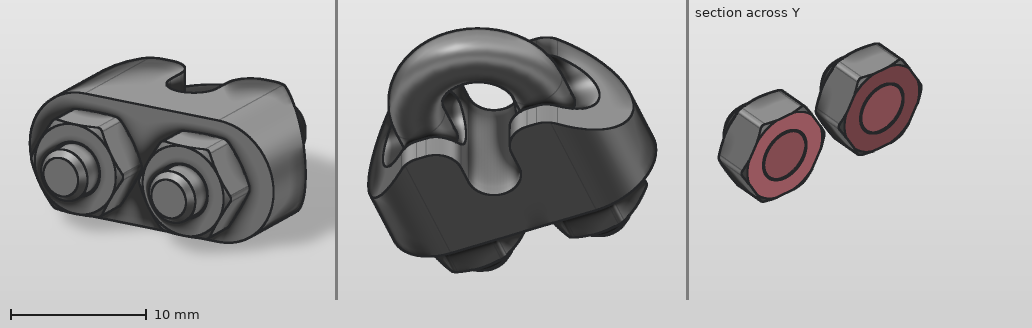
import cadquery as cq
import math


overall_length = 21.0
rod_diameter = 4.0
rod_radius = rod_diameter / 2
bend_radius = 4.65
leg_tip_y = -5.25
leg_tip_chamfer = 0.5
bend_center_y = leg_tip_y + overall_length - bend_radius - rod_radius
leg_positions = (-bend_radius, bend_radius)

saddle_width = 21.0
saddle_thickness = 9.5
saddle_height = 9.5
shoulder_height = 4.58
slope_angle = 45.0
crest_radius = 2.0
slot_width = 4.0
slot_depth = 5.5
groove_radius = 2.75
groove_floor_y = 6.5

nut_across_flats = 7.0
nut_across_corners = nut_across_flats / math.cos(math.pi / 6)
nut_height = 3.2
nut_corner_radius = 0.5
nut_face_radius = 3.49
nut_chamfer_angle = 30.0
nut_countersink = 0.13


def make_saddle_profile():
    """Plate with its outline in XY: sloped shoulders and two crests beside an open slot."""
    half_width = saddle_width / 2
    slope_run = (saddle_height - shoulder_height) / math.tan(math.radians(slope_angle))
    slope_top_x = half_width - slope_run
    slot_half = slot_width / 2
    slot_arc_y = saddle_height - slot_depth + slot_half

    profile = (
        cq.Workplane("XY")
        .moveTo(-half_width, 0)
        .lineTo(half_width, 0)
        .lineTo(half_width, shoulder_height)
        .lineTo(slope_top_x, saddle_height)
        .lineTo(slot_half, saddle_height)
        .lineTo(slot_half, slot_arc_y)
        .threePointArc((0, saddle_height - slot_depth), (-slot_half, slot_arc_y))
        .lineTo(-slot_half, saddle_height)
        .lineTo(-slope_top_x, saddle_height)
        .lineTo(-half_width, shoulder_height)
        .close()
        .extrude(saddle_thickness / 2, both=True)
    )
    crest_corners = cq.selectors.BoxSelector(
        (-half_width, shoulder_height + crest_radius, -saddle_thickness),
        (half_width, saddle_height + crest_radius, saddle_thickness),
    )
    return profile.edges("|Z").edges(crest_corners).fillet(crest_radius)


def make_saddle():
    """Profile with round ends, a rope groove and a hole for each leg."""
    round_ends = (
        cq.Workplane("XZ")
        .slot2D(saddle_width, saddle_thickness)
        .extrude(-saddle_height)
    )
    rope_groove = (
        cq.Workplane("YZ")
        .center(groove_floor_y + groove_radius, 0)
        .circle(groove_radius)
        .extrude(saddle_width, both=True)
    )
    leg_holes = (
        cq.Workplane("XZ")
        .pushPoints([(x, 0) for x in leg_positions])
        .circle(rod_radius)
        .extrude(-saddle_height)
    )
    return make_saddle_profile().intersect(round_ends).cut(rope_groove).cut(leg_holes)


def make_u_bolt():
    """Half-ring bend with two straight legs, chamfered at the tips."""
    path = (
        cq.Workplane("XY")
        .moveTo(-bend_radius, leg_tip_y)
        .lineTo(-bend_radius, bend_center_y)
        .threePointArc((0, bend_center_y + bend_radius), (bend_radius, bend_center_y))
        .lineTo(bend_radius, leg_tip_y)
    )
    rod = (
        cq.Workplane("XZ", origin=(-bend_radius, leg_tip_y, 0))
        .circle(rod_radius)
        .sweep(path)
    )
    return rod.faces("<Y").edges().chamfer(leg_tip_chamfer)


def make_nut_turning():
    """Ring around the Y axis that gives a nut its bore and its chamfers."""
    outer_radius = nut_across_corners / 2
    chamfer_drop = (outer_radius - nut_face_radius) * math.tan(math.radians(nut_chamfer_angle))
    mouth_radius = rod_radius + nut_countersink
    return (
        cq.Workplane("XY")
        .moveTo(rod_radius, -nut_countersink)
        .lineTo(mouth_radius, 0)
        .lineTo(nut_face_radius, 0)
        .lineTo(outer_radius, -chamfer_drop)
        .lineTo(outer_radius, chamfer_drop - nut_height)
        .lineTo(nut_face_radius, -nut_height)
        .lineTo(mouth_radius, -nut_height)
        .lineTo(rod_radius, nut_countersink - nut_height)
        .close()
        .revolve(360, (0, 0, 0), (0, 1, 0))
    )


def make_nut(x):
    """Hex nut against the saddle, with rounded corners and chamfered faces."""
    hexagon = (
        cq.Workplane("XZ")
        .polygon(6, nut_across_corners)
        .extrude(nut_height)
        .edges("|Y")
        .fillet(nut_corner_radius)
    )
    return hexagon.intersect(make_nut_turning()).translate((x, 0, 0))


saddle = make_saddle()
u_bolt = make_u_bolt()
nuts = [make_nut(x) for x in leg_positions]

result = cq.Compound.makeCompound([saddle.val(), u_bolt.val(), *[nut.val() for nut in nuts]])